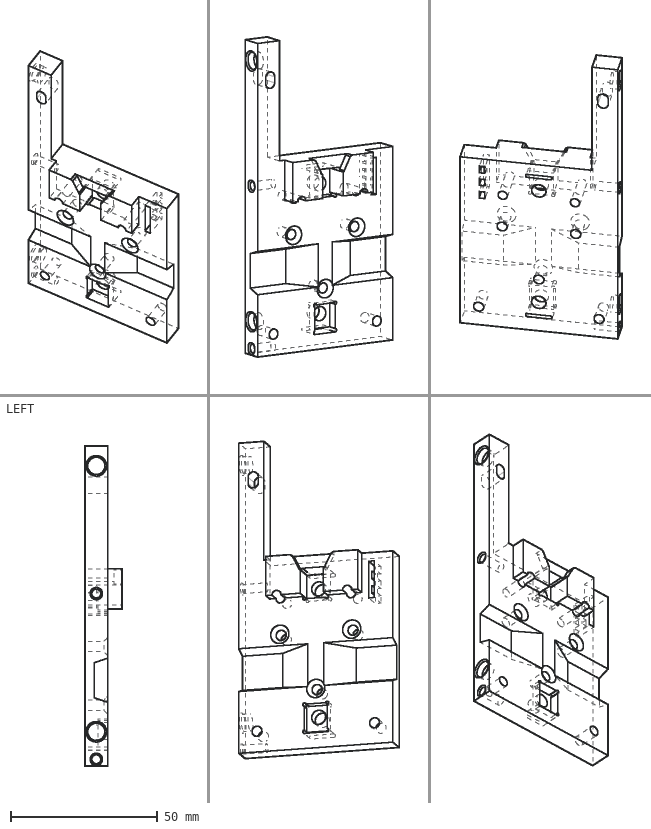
import cadquery as cq

plate_width = 55.0
plate_height = 67.6
plate_thickness = 7.9
arm_width = 9.0
arm_height = 109.5
center_x = plate_width / 2

block_width = 32.7
block_bottom = 53.7
block_depth = 4.9

funnel_depth = 3.0
funnel_bottom = 62.4
funnel_bottom_width = 9.2
funnel_top_width = 14.0
funnel_lip = 0.8
funnel_lip_height = 0.4

pocket_width = 8.3
pocket_length = 10.3
pocket_depth = 3.5
pocket_upper_edge = 52.9
pocket_lower_edge = 15.7
pocket_slot_width = 9.2
pocket_slot_height = 1.2
bolt_hole_diameter = 4.9
bolt_hole_offset = 4.0
relief_radius = 0.5
relief_inset = 0.1

groove_top = 36.9
groove_bottom = 21.8
groove_depth = 4.6
groove_draft = 1.5
ridge_top_width = 5.6
ridge_base_width = 26.2

pin_diameter = 3.2
pin_spacing = 25.2
pin_height = block_bottom
corner_hole_diameter = 3.5
corner_hole_spacing = 41.9
corner_hole_height = 7.3
screw_diameter = 3.5
screw_head_diameter = 6.5
screw_head_depth = (screw_head_diameter - screw_diameter) / 2
screw_spacing = 25.6
screw_upper_height = 41.0
screw_lower_height = 20.9

arm_slot_x = 5.1
arm_slot_z = 96.1
arm_slot_length = 5.7
arm_slot_width = 3.6

tie_slot_x = 47.3
tie_slot_width = 2.0
tie_slot_bottom = 51.6
tie_slot_height = 12.9
tie_window_height = 2.6
tie_recess_depth = plate_thickness / 2

magnet_diameter = 5.9
magnet_depth = 3.0
magnet_heights = (11.7, 102.7)
side_screw_diameter = 3.1
side_screw_depth = 8.8
side_screw_heights = (2.3, 59.0)
magnet_chamfer = 0.5
side_screw_chamfer = 0.5

through_length = block_depth + plate_thickness


def front_plane(y):
    """Sketch plane parallel to the front face; extrusions go towards +Y."""
    return cq.Workplane(cq.Plane(origin=(0, y, 0), xDir=(1, 0, 0), normal=(0, -1, 0)))


def box(x_min, width, y_min, depth, z_min, height):
    """Box given by its lowest corner and its size along each axis."""
    return cq.Workplane("XY").box(width, depth, height, centered=False).translate((x_min, y_min, z_min))


def through_holes(points, diameter):
    """Cylinders through the block and the plate at the given (x, z) points."""
    return front_plane(-block_depth).pushPoints(points).circle(diameter / 2).extrude(-through_length)


def mirrored_pair(spacing, z):
    """Two (x, z) points placed symmetrically about the plate centre."""
    return [(center_x - spacing / 2, z), (center_x + spacing / 2, z)]


def base_body():
    plate = box(0, plate_width, 0, plate_thickness, 0, plate_height)
    arm = box(0, arm_width, 0, plate_thickness, 0, arm_height)
    block = box(
        center_x - block_width / 2, block_width,
        -block_depth, block_depth,
        block_bottom, plate_height - block_bottom,
    )
    return plate.union(arm).union(block)


def funnel():
    half_bottom = funnel_bottom_width / 2
    half_top = funnel_top_width / 2
    half_mouth = half_top + funnel_lip
    lip_z = plate_height - funnel_lip_height
    return (
        front_plane(-block_depth)
        .polyline([
            (center_x - half_bottom, funnel_bottom),
            (center_x - half_top, lip_z),
            (center_x - half_mouth, plate_height),
            (center_x + half_mouth, plate_height),
            (center_x + half_top, lip_z),
            (center_x + half_bottom, funnel_bottom),
        ])
        .close()
        .extrude(-funnel_depth)
    )


def nut_pocket(inner_edge, direction):
    """Pocket running from inner_edge upwards (direction 1) or downwards (direction -1)."""
    cut_depth = block_depth + pocket_depth
    middle = inner_edge + direction * pocket_length / 2
    slot_z = inner_edge + direction * (pocket_length - pocket_slot_height / 2)
    relief_z = inner_edge + direction * relief_inset
    pocket = (
        front_plane(-block_depth)
        .center(center_x, middle)
        .rect(pocket_width, pocket_length)
        .extrude(-cut_depth)
    )
    reliefs = (
        front_plane(-block_depth)
        .pushPoints(mirrored_pair(pocket_width - 2 * relief_inset, relief_z))
        .circle(relief_radius)
        .extrude(-cut_depth)
    )
    slot = (
        front_plane(-block_depth)
        .center(center_x, slot_z)
        .slot2D(pocket_slot_width, pocket_slot_height)
        .extrude(-through_length)
    )
    bolt_hole = through_holes([(center_x, inner_edge + direction * bolt_hole_offset)], bolt_hole_diameter)
    return pocket.union(reliefs).union(slot).union(bolt_hole)


def groove():
    channel = (
        cq.Workplane("YZ")
        .polyline([
            (0, groove_bottom),
            (groove_depth, groove_bottom + groove_draft),
            (groove_depth, groove_top - groove_draft),
            (0, groove_top),
        ])
        .close()
        .extrude(plate_width)
    )
    ridge = (
        cq.Workplane("XY")
        .workplane(offset=groove_bottom)
        .polyline([
            (center_x - ridge_top_width / 2, 0),
            (center_x + ridge_top_width / 2, 0),
            (center_x + ridge_base_width / 2, groove_depth),
            (center_x - ridge_base_width / 2, groove_depth),
        ])
        .close()
        .extrude(groove_top - groove_bottom)
    )
    return channel.cut(ridge)


def countersunk_hole(x, z):
    shank = through_holes([(x, z)], screw_diameter)
    head = cq.Solid.makeCone(
        screw_head_diameter / 2, screw_diameter / 2, screw_head_depth,
        cq.Vector(x, 0, z), cq.Vector(0, 1, 0),
    )
    return shank.union(cq.Workplane(head))


def arm_slot():
    return (
        front_plane(0)
        .center(arm_slot_x, arm_slot_z)
        .slot2D(arm_slot_length, arm_slot_width, 90)
        .extrude(-plate_thickness)
    )


def tie_slot():
    left = tie_slot_x - tie_slot_width / 2
    cutter = box(left, tie_slot_width, 0, tie_recess_depth, tie_slot_bottom, tie_slot_height)
    window_pitch = (tie_slot_height - tie_window_height) / 2
    for index in range(3):
        window_bottom = tie_slot_bottom + index * window_pitch
        cutter = cutter.union(
            box(left, tie_slot_width, 0, plate_thickness, window_bottom, tie_window_height)
        )
    return cutter


def side_hole(z, diameter, depth, chamfer):
    """Blind hole with a chamfered mouth, entering the left side at mid-thickness."""
    mouth = cq.Vector(0, plate_thickness / 2, z)
    inward = cq.Vector(1, 0, 0)
    radius = diameter / 2
    bore = cq.Solid.makeCylinder(radius, depth, mouth, inward)
    bevel = cq.Solid.makeCone(radius + chamfer, radius, chamfer, mouth, inward)
    return cq.Workplane(bore).union(cq.Workplane(bevel))


result = base_body().cut(groove()).cut(funnel())
result = result.cut(nut_pocket(pocket_upper_edge, 1))
result = result.cut(nut_pocket(pocket_lower_edge, -1))

result = result.cut(through_holes(mirrored_pair(pin_spacing, pin_height), pin_diameter))
result = result.cut(
    through_holes(mirrored_pair(corner_hole_spacing, corner_hole_height), corner_hole_diameter)
)
screw_points = mirrored_pair(screw_spacing, screw_upper_height) + [(center_x, screw_lower_height)]
for screw_x, screw_z in screw_points:
    result = result.cut(countersunk_hole(screw_x, screw_z))

result = result.cut(arm_slot()).cut(tie_slot())

for height in magnet_heights:
    result = result.cut(side_hole(height, magnet_diameter, magnet_depth, magnet_chamfer))
for height in side_screw_heights:
    result = result.cut(side_hole(height, side_screw_diameter, side_screw_depth, side_screw_chamfer))